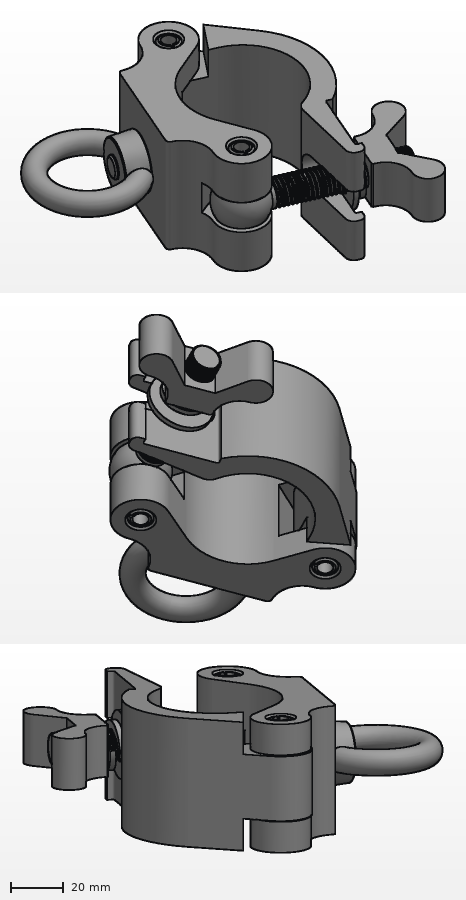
import cadquery as cq
import math


height = 50.0
bore_r = 25.5
pin_x = 37.5
pin_y = -15.3
pin_r = 5.0
countersink = 0.9
knuckle_r = 12.0

ear_r = 11.5
base_bottom_y = -40.7
base_half_width = 25.0
base_edge_fillet = 1.8
hinge_slot_reach = 14.3
arm_slot_width = 26.0
bolt_slot_width = 13.7

arm_outer_r = 35.4
knuckle_width = 25.0
shoulder_distance = 14.2
shoulder_tilt = -15.0
flange_start_x = 21.7
flange_top_y = 25.0
flange_end_x = 57.3
lip_x = 52.3
lip_top_y = 27.7
lip_fillet = 2.8
flange_tip_fillet = 3.7
flange_tip_y = 20.8
flange_slope = 10.0
flange_nose_fillet = 5.3
flange_corner_fillet = 0.7
flange_slot_center_x = 30.0

bolt_r = 6.0
bolt_top_y = 53.7
thread_start_y = -3.2
thread_pitch = 1.8
thread_depth = 0.81

washer_r = 13.1
washer_bore_r = 6.5
washer_thickness = 2.2
spring_outer_r = 9.6
spring_inner_r = 6.2
spring_thickness = 2.4
spring_rise = 3.8

nut_bottom_y = 33.9
nut_top_y = 46.0
nut_half_width = 9.6
nut_top_half_width = 6.2
nut_depth = 20.0
nut_edge_chamfer = 0.6
wing_r = 6.5
wing_center_x = 20.2

pin_bore_r = 3.1
pin_length = 49.2
pin_chamfer = 1.0
pin_slit = 1.0

eye_x = 0.3
eye_z = 0.5
ring_y = -63.2
ring_major_r = 20.2
ring_wire_r = 5.0
collar_top_y = -41.7
collar_bottom_y = -52.3
collar_top_r = 12.7
collar_bottom_r = 11.6
collar_chamfer = 0.5
stud_r = 4.9
stud_end_y = -53.7
stud_chamfer = 0.7
stud_depth = 10.3


def polar(center, radius, angle):
    """Point at an angle in degrees on a circle."""
    a = math.radians(angle)
    return (center[0] + radius * math.cos(a), center[1] + radius * math.sin(a))


def prism(sketch, depth):
    """Extrude an XY outline symmetrically about Z = 0."""
    return sketch.extrude(depth / 2, both=True)


def cylinder_z(x, y, radius, length):
    return prism(cq.Workplane("XY").center(x, y).circle(radius), length)


def cylinder_y(x, z, radius, y_from, y_to):
    """Cylinder along Y between two Y positions."""
    return cq.Workplane("XZ", origin=(x, y_from, z)).circle(radius).extrude(y_from - y_to)


def along_bolt(shape, y):
    """Turn a shape built along +Z onto the bolt axis, its origin at the given Y."""
    return shape.rotate((0, 0, 0), (1, 0, 0), -90).translate((pin_x, y, 0))


pin_distance = math.hypot(pin_x, pin_y)
pin_direction = math.degrees(math.atan2(pin_y, -pin_x))


def make_base():
    right_pin = (pin_x, pin_y)
    to_bore = math.degrees(math.atan2(-pin_y, -pin_x))
    flank = to_bore - math.degrees(math.acos((ear_r + bore_r) / pin_distance))
    ear_top = polar(right_pin, ear_r, flank)
    bore_end = polar((0, 0), bore_r, flank - 180)
    ear_side = polar(right_pin, ear_r, flank / 2 - 45)
    ear_bottom = (pin_x, pin_y - ear_r)
    waist_r = pin_x - base_half_width
    waist_center = (pin_x, ear_bottom[1] - waist_r)
    waist_mid = polar(waist_center, waist_r, 135)
    waist_end = (base_half_width, waist_center[1])

    def mirrored(point):
        return (-point[0], point[1])

    outline = (
        cq.Workplane("XY")
        .moveTo(*mirrored(bore_end))
        .threePointArc((0, -bore_r), bore_end)
        .lineTo(*ear_top)
        .threePointArc(ear_side, ear_bottom)
        .threePointArc(waist_mid, waist_end)
        .lineTo(base_half_width, base_bottom_y)
        .lineTo(-base_half_width, base_bottom_y)
        .lineTo(*mirrored(waist_end))
        .threePointArc(mirrored(waist_mid), mirrored(ear_bottom))
        .threePointArc(mirrored(ear_side), mirrored(ear_top))
        .close()
    )
    base = prism(outline, height)
    base = base.edges("|Z").edges("<Y").fillet(base_edge_fillet)
    for side, slot_width in ((-1, arm_slot_width), (1, bolt_slot_width)):
        slot_size = 4 * ear_r
        slot = (
            cq.Workplane("XY")
            .box(slot_size, slot_size, slot_width)
            .translate((slot_size / 2 - hinge_slot_reach, 0, 0))
            .rotate((0, 0, 0), (0, 0, 1), flank - 90)
        )
        if side < 0:
            slot = slot.mirror("YZ")
        base = base.cut(slot.translate((side * pin_x, pin_y, 0)))
        base = base.cut(cylinder_z(side * pin_x, pin_y, pin_r, height))
    pin_hole_rims = cq.selectors.RadiusNthSelector(0)
    base = base.faces("<Z or >Z").edges(pin_hole_rims).chamfer(countersink)
    stud_hole = cylinder_y(eye_x, eye_z, stud_r, base_bottom_y, base_bottom_y + stud_depth)
    return base.cut(stud_hole)


def make_arm():
    left_pin = (-pin_x, pin_y)
    back = pin_direction % 360 - math.degrees(math.acos((arm_outer_r - knuckle_r) / pin_distance))
    outer_start_angle = back
    outer_end_angle = math.degrees(math.acos(flange_start_x / arm_outer_r))
    outer_mid_angle = (outer_start_angle + outer_end_angle) / 2

    slope = math.radians(flange_slope)
    line_offset = flange_tip_y * math.cos(slope) - flange_end_x * math.sin(slope)
    nose_angle = math.degrees(slope + math.asin(line_offset / bore_r))
    nose = polar((0, 0), bore_r, nose_angle)

    outline = (
        cq.Workplane("XY")
        .moveTo(*polar(left_pin, knuckle_r, back))
        .lineTo(*polar((0, 0), arm_outer_r, back))
        .threePointArc(
            polar((0, 0), arm_outer_r, outer_mid_angle),
            polar((0, 0), arm_outer_r, outer_end_angle),
        )
        .lineTo(flange_start_x, flange_top_y)
        .lineTo(lip_x, flange_top_y)
        .lineTo(lip_x, lip_top_y)
        .lineTo(flange_end_x, lip_top_y)
        .lineTo(flange_end_x, flange_tip_y)
        .lineTo(*nose)
        .threePointArc(polar((0, 0), bore_r, (nose_angle + 180) / 2), (-bore_r, 0))
        .lineTo(-pin_x + knuckle_r, pin_y)
        .threePointArc((-pin_x, pin_y - knuckle_r), polar(left_pin, knuckle_r, back))
        .close()
    )
    arm = prism(outline, height)

    def round_corner(body, x, y, radius):
        return body.edges(cq.selectors.NearestToPointSelector((x, y, 0))).fillet(radius)

    arm = round_corner(arm, *nose, flange_nose_fillet)
    arm = round_corner(arm, flange_end_x, lip_top_y, lip_fillet)
    arm = round_corner(arm, flange_end_x, flange_tip_y, flange_tip_fillet)
    arm = round_corner(arm, flange_start_x, flange_top_y, flange_corner_fillet)
    arm = round_corner(arm, lip_x, flange_top_y, flange_corner_fillet)

    cheek = (height - knuckle_width) / 2
    reach = 2 * arm_outer_r
    for side in (-1, 1):
        shoulder_cut = (
            cq.Workplane("XY")
            .box(reach, reach, cheek)
            .translate((0, shoulder_distance - reach / 2, side * (height - cheek) / 2))
            .rotate((0, 0, 0), (0, 0, 1), shoulder_tilt)
            .translate((-pin_x, pin_y, 0))
        )
        keep_right = cq.Workplane("XY").box(reach, 2 * reach, height).translate((-bore_r - reach / 2, 0, 0))
        arm = arm.cut(shoulder_cut.intersect(keep_right))

    slot_length = flange_end_x - flange_slot_center_x
    bolt_slot = cylinder_y(flange_slot_center_x, 0, bolt_slot_width / 2, 0, arm_outer_r).union(
        cq.Workplane("XY")
        .box(slot_length, arm_outer_r, bolt_slot_width)
        .translate((flange_slot_center_x + slot_length / 2, arm_outer_r / 2, 0))
    )
    return arm.cut(bolt_slot).cut(cylinder_z(-pin_x, pin_y, pin_r, height))


def make_thread():
    """Threaded rod along +Z.

    Every cross-section falls evenly from the crest to the root over half a turn and rises back
    over the other half, and the sections turn once per pitch.
    """
    steps = 6

    def section_point(step):
        share = abs(step) / steps
        return polar((0, 0), bolt_r - thread_depth * share, math.copysign(180 * share, step))

    falling = [section_point(step) for step in range(1, steps + 1)]
    rising = [section_point(step) for step in range(1 - steps, 1)]
    length = bolt_top_y - thread_start_y
    return (
        cq.Workplane("XY")
        .moveTo(bolt_r, 0)
        .spline(falling, includeCurrent=True)
        .spline(rising, includeCurrent=True)
        .close()
        .twistExtrude(length, 360 * length / thread_pitch)
    )


def make_swing_bolt():
    ball_width = 2 * bolt_r
    ball = cq.Workplane("XY").sphere(knuckle_r).translate((pin_x, pin_y, 0))
    ball = ball.intersect(cylinder_z(pin_x, pin_y, knuckle_r, ball_width))
    shank = cylinder_y(pin_x, 0, bolt_r, pin_y, thread_start_y)
    body = ball.union(shank).cut(cylinder_z(pin_x, pin_y, pin_r, ball_width))
    return body.union(along_bolt(make_thread(), thread_start_y), clean=False)


def make_flat_washer():
    disc = cq.Workplane("XY").circle(washer_r).circle(washer_bore_r).extrude(washer_thickness)
    return along_bolt(disc, flange_top_y)


def make_spring_washer():
    """Split ring of one helical turn with a rectangular section."""
    helix = cq.Wire.makeHelix(spring_rise, spring_rise, spring_inner_r)
    section_width = spring_outer_r - spring_inner_r
    coil = (
        cq.Workplane("XZ")
        .center(spring_inner_r + section_width / 2, spring_thickness / 2)
        .rect(section_width, spring_thickness)
        .sweep(cq.Workplane(helix), isFrenet=True)
        .rotate((0, 0, 0), (0, 0, 1), 180)
    )
    return along_bolt(coil, flange_top_y + washer_thickness)


def make_wing_nut():
    wing_center = (wing_center_x, nut_top_y + wing_r)
    run = wing_center_x - nut_top_half_width
    half_angle = math.degrees(math.atan2(wing_r, run))
    flank_end = polar((nut_top_half_width, nut_top_y), run, 2 * half_angle)
    neck_r = wing_center_x - nut_half_width
    neck_center = (wing_center_x, nut_top_y - neck_r)
    half = (
        cq.Workplane("XY")
        .moveTo(0, nut_bottom_y)
        .lineTo(nut_half_width - nut_edge_chamfer, nut_bottom_y)
        .lineTo(nut_half_width, nut_bottom_y + nut_edge_chamfer)
        .lineTo(nut_half_width, neck_center[1])
        .threePointArc(polar(neck_center, neck_r, 135), (wing_center_x, nut_top_y))
        .threePointArc(polar(wing_center, wing_r, half_angle), flank_end)
        .lineTo(nut_top_half_width, nut_top_y)
        .lineTo(0, nut_top_y)
        .close()
    )
    half_nut = prism(half, nut_depth)
    nut = half_nut.union(half_nut.mirror("YZ")).translate((pin_x, 0, 0))
    return nut.cut(cylinder_y(pin_x, 0, bolt_r, nut_bottom_y, nut_top_y))


def make_roll_pin(x):
    pin = cylinder_z(x, pin_y, pin_r, pin_length).edges().chamfer(pin_chamfer)
    pin = pin.cut(cylinder_z(x, pin_y, pin_bore_r, pin_length))
    slit = cq.Workplane("XY").box(pin_r, pin_slit, pin_length).translate((x + pin_r / 2 + pin_bore_r / 2, pin_y, 0))
    return pin.cut(slit)


def make_eye_nut():
    ring = (
        cq.Workplane("YZ", origin=(eye_x, ring_y, eye_z))
        .center(-ring_major_r, 0)
        .circle(ring_wire_r)
        .revolve(360, (ring_major_r, -1.5, 0), (ring_major_r, 1.5, 0))
    )
    ring_width = 2 * (ring_major_r + ring_wire_r)
    above_collar = (
        cq.Workplane("XY")
        .box(ring_width, ring_major_r, ring_width)
        .translate((eye_x, collar_top_y + ring_major_r / 2, eye_z))
    )
    collar = (
        cq.Workplane("XZ", origin=(eye_x, collar_top_y, eye_z))
        .circle(collar_top_r)
        .workplane(offset=collar_top_y - collar_bottom_y)
        .circle(collar_bottom_r)
        .loft()
        .faces("<Y or >Y")
        .chamfer(collar_chamfer)
    )
    eye = ring.cut(above_collar).union(collar)
    return eye.cut(cylinder_y(eye_x, eye_z, stud_r, collar_bottom_y, collar_top_y))


def make_stud():
    stud = cylinder_y(eye_x, eye_z, stud_r, stud_end_y, base_bottom_y + stud_depth)
    return stud.faces("<Y").chamfer(stud_chamfer)


base = make_base()
arm = make_arm()
swing_bolt = make_swing_bolt()
flat_washer = make_flat_washer()
spring_washer = make_spring_washer()
wing_nut = make_wing_nut()
roll_pins = [make_roll_pin(side * pin_x).val() for side in (-1, 1)]
eye_nut = make_eye_nut()
stud = make_stud()

result = cq.Compound.makeCompound(
    [
        base.val(),
        arm.val(),
        swing_bolt.val(),
        flat_washer.val(),
        spring_washer.val(),
        wing_nut.val(),
        *roll_pins,
        eye_nut.val(),
        stud.val(),
    ]
)